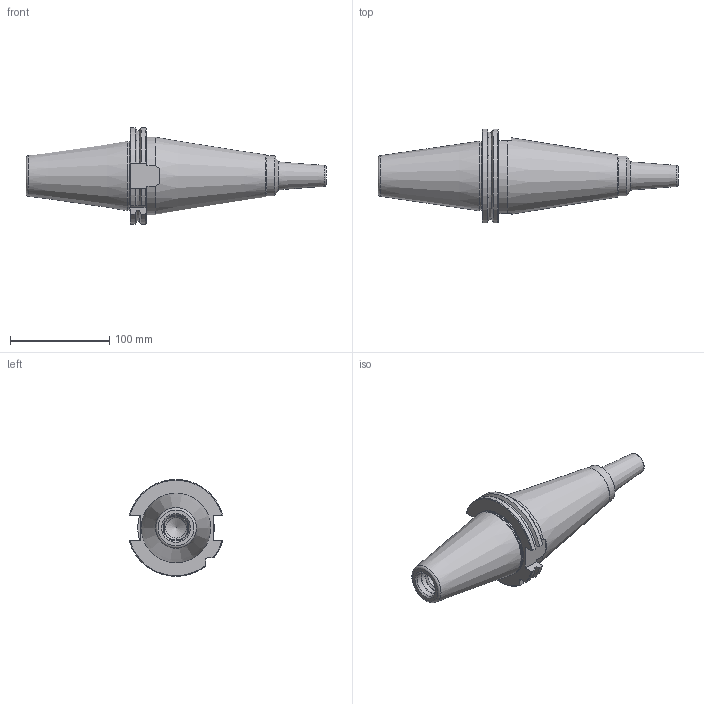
import cadquery as cq
import math


RADIUS_TAPER = 7 / 24 / 2
GAUGE_RADIUS = 69.85 / 2
SHANK_LENGTH = 101.6
SHANK_END_FILLET = 2.5

RELIEF_START = 0.1
RELIEF_DEPTH = 0.6
RELIEF_END = 2.6

FLANGE_RADIUS = 97.5 / 2
FLANGE_START = 3.2
FLANGE_END = 19.1
FLANGE_CHAMFER = 0.7

GROOVE_CENTER = 11.1
GROOVE_ROOT_RADIUS = 91.25 / 2
GROOVE_ROOT_WIDTH = 2.6
GROOVE_HALF_ANGLE = 30

BODY_RADIUS = 39.05
BODY_FILLET = 0.8
BODY_CYLINDER_END = 28.6
BODY_CONE_END = 139.4
BODY_CONE_END_RADIUS = 21.2
COLLAR_START = 140.3
COLLAR_RADIUS = 20.1
COLLAR_END = 148.3
NOSE_START = 152.2
NOSE_START_RADIUS = 14.2
NOSE_END = 200.0
NOSE_END_RADIUS = 10.5
NOSE_FILLET = 1.5

SLOT_WIDTH = 25.7
SLOT_END = 32.2
SLOT_FLOOR_FRONT = 37.7
SLOT_FLOOR_BACK = 35.3

NOTCH_Y = 29.7
NOTCH_Z = 30.2
NOTCH_FILLET = 2.0

MOUTH_RADIUS = 14.5
COUNTERBORE_RADIUS = 13.0
COUNTERBORE_DEPTH = 7.0
PILOT_RADIUS = 12.5
PILOT_DEPTH = 12.0
THREAD_RADIUS = 12.0
BORE_RADIUS = 10.3
THREAD_DEPTH = 45.0
DRILL_HALF_ANGLE = 59


def revolve_about_x(profile):
    return profile.close().revolve(360, (0, 0, 0), (1, 0, 0))


def make_body():
    shank_radius = GAUGE_RADIUS - SHANK_LENGTH * RADIUS_TAPER
    relief_radius = GAUGE_RADIUS - RELIEF_DEPTH
    groove_half_root = GROOVE_ROOT_WIDTH / 2
    groove_depth = FLANGE_RADIUS - GROOVE_ROOT_RADIUS
    groove_half_mouth = groove_half_root + groove_depth * math.tan(math.radians(GROOVE_HALF_ANGLE))
    rim_radius = FLANGE_RADIUS - FLANGE_CHAMFER
    profile = (
        cq.Workplane("XY")
        .moveTo(-SHANK_LENGTH, 0)
        .lineTo(-SHANK_LENGTH, shank_radius)
        .lineTo(0, GAUGE_RADIUS)
        .lineTo(RELIEF_START, GAUGE_RADIUS)
        .lineTo(RELIEF_START + RELIEF_DEPTH, relief_radius)
        .lineTo(RELIEF_END - RELIEF_DEPTH, relief_radius)
        .lineTo(RELIEF_END, GAUGE_RADIUS)
        .lineTo(FLANGE_START, GAUGE_RADIUS)
        .lineTo(FLANGE_START, rim_radius)
        .lineTo(FLANGE_START + FLANGE_CHAMFER, FLANGE_RADIUS)
        .lineTo(GROOVE_CENTER - groove_half_mouth, FLANGE_RADIUS)
        .lineTo(GROOVE_CENTER - groove_half_root, GROOVE_ROOT_RADIUS)
        .lineTo(GROOVE_CENTER + groove_half_root, GROOVE_ROOT_RADIUS)
        .lineTo(GROOVE_CENTER + groove_half_mouth, FLANGE_RADIUS)
        .lineTo(FLANGE_END - FLANGE_CHAMFER, FLANGE_RADIUS)
        .lineTo(FLANGE_END, rim_radius)
        .lineTo(FLANGE_END, BODY_RADIUS + BODY_FILLET)
        .radiusArc((FLANGE_END + BODY_FILLET, BODY_RADIUS), -BODY_FILLET)
        .lineTo(BODY_CYLINDER_END, BODY_RADIUS)
        .lineTo(BODY_CONE_END, BODY_CONE_END_RADIUS)
        .lineTo(COLLAR_START, COLLAR_RADIUS)
        .lineTo(COLLAR_END, COLLAR_RADIUS)
        .lineTo(NOSE_START, NOSE_START_RADIUS)
        .lineTo(NOSE_END, NOSE_END_RADIUS)
        .lineTo(NOSE_END, 0)
    )
    body = revolve_about_x(profile)
    body = body.faces("<X").edges().fillet(SHANK_END_FILLET)
    return body.faces(">X").edges().fillet(NOSE_FILLET)


def side_block(x_start, x_end, side, floor, width):
    length = x_end - x_start
    depth = FLANGE_RADIUS
    return cq.Workplane("XY").box(length, depth, width).translate(
        (x_start + length / 2, side * (floor + depth / 2), 0)
    )


def make_drive_slot(side, floor):
    flange_slot = side_block(FLANGE_START, FLANGE_END, side, floor, SLOT_WIDTH)
    body_flat = side_block(FLANGE_END, SLOT_END, side, floor, 2 * BODY_RADIUS)
    return flange_slot.union(body_flat)


def make_notch():
    length = FLANGE_END - FLANGE_START
    size = FLANGE_RADIUS
    block = cq.Workplane("XY").box(length, size, size).translate(
        (FLANGE_START + length / 2, -NOTCH_Y - size / 2, -NOTCH_Z - size / 2)
    )
    return block.edges("|X and >Y and >Z").fillet(NOTCH_FILLET)


def make_bore():
    mouth = -SHANK_LENGTH
    tip_length = BORE_RADIUS / math.tan(math.radians(DRILL_HALF_ANGLE))
    thread_end = mouth + THREAD_DEPTH
    profile = (
        cq.Workplane("XY")
        .moveTo(mouth, 0)
        .lineTo(mouth, MOUTH_RADIUS)
        .lineTo(mouth + MOUTH_RADIUS - COUNTERBORE_RADIUS, COUNTERBORE_RADIUS)
        .lineTo(mouth + COUNTERBORE_DEPTH, COUNTERBORE_RADIUS)
        .lineTo(mouth + COUNTERBORE_DEPTH + COUNTERBORE_RADIUS - PILOT_RADIUS, PILOT_RADIUS)
        .lineTo(mouth + PILOT_DEPTH, PILOT_RADIUS)
        .lineTo(mouth + PILOT_DEPTH, THREAD_RADIUS)
        .lineTo(mouth + PILOT_DEPTH + THREAD_RADIUS - BORE_RADIUS, BORE_RADIUS)
        .lineTo(thread_end, BORE_RADIUS)
        .lineTo(thread_end + tip_length, 0)
    )
    return revolve_about_x(profile)


result = (
    make_body()
    .cut(make_drive_slot(-1, SLOT_FLOOR_FRONT))
    .cut(make_drive_slot(1, SLOT_FLOOR_BACK))
    .cut(make_notch())
    .cut(make_bore())
)